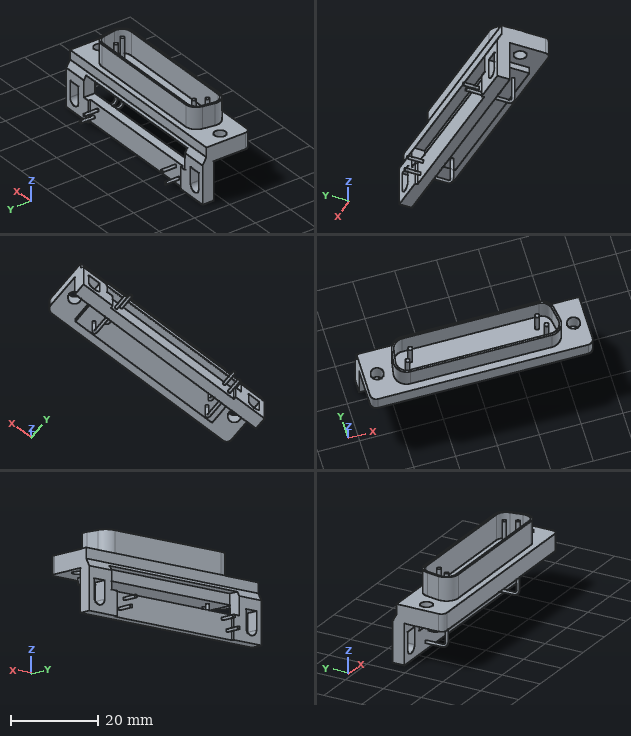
import cadquery as cq
import math

length = 53.2
flange_depth = 12.5
flange_bottom = 10.6
flange_top = 15.05
flange_corner_radius = 1.5

leg_front = 10.4
leg_back = 13.55
slope_top = 12.45
recess_half_width = 18.05
recess_front = 12.95
window_half_width = 19.7
window_bottom = 6.0

mount_x = 23.45
mount_hole_diameter = 3.05
slot_width = 3.2
slot_bottom = 1.85
slot_top = 7.9

shell_center_y = 6.35
shell_depth = 9.2
shell_front_half_width = 20.55
shell_side_angle = 10.0
shell_corner_radius = 3.05
shell_wall = 0.5
shell_top = 21.0
shell_floor = 14.6

block_half_width = 20.05
block_front = 2.4
block_bottom = 9.0

contacts = [(15.15, 7.7, 4.65), (16.6, 4.9, 2.1)]
contact_diameter = 1.0
contact_top = 20.6
tail_diameter = 0.75
tail_end = 16.8
bend_radius = 1.1


def box(half_width, y_min, y_max, z_min, z_max):
    """Box centred on X = 0 between the given Y and Z limits."""
    return cq.Workplane("XY").box(
        2 * half_width, y_max - y_min, z_max - z_min, centered=(True, False, False)
    ).translate((0, y_min, z_min))


def make_bracket():
    """Flange and leg as one angle profile, with rounded front corners."""
    profile = [
        (0, flange_bottom),
        (leg_front, flange_bottom),
        (leg_front, 0),
        (leg_back, 0),
        (leg_back, flange_bottom),
        (flange_depth, slope_top),
        (flange_depth, flange_top),
        (0, flange_top),
    ]
    bracket = cq.Workplane("YZ").polyline(profile).close().extrude(length / 2, both=True)
    return bracket.edges("|Z and <Y").fillet(flange_corner_radius)


def cut_leg_openings(bracket):
    """Cut the shallow back recess and the wide window through the leg."""
    slope_fraction = (leg_back - recess_front) / (leg_back - flange_depth)
    window_top = flange_bottom + slope_fraction * (slope_top - flange_bottom)
    recess = box(recess_half_width, recess_front, leg_back, 0, window_top)
    window = box(window_half_width, leg_front, leg_back, window_bottom, window_top)
    return bracket.cut(recess).cut(window)


def cut_mounting(bracket):
    """Cut a round flange hole and a round-bottomed leg slot at each end."""
    slot_radius = slot_width / 2
    slot_center_z = slot_bottom + slot_radius
    for x in (-mount_x, mount_x):
        hole = (
            cq.Workplane("XY")
            .center(x, shell_center_y)
            .circle(mount_hole_diameter / 2)
            .extrude(flange_top)
        )
        slot = (
            cq.Workplane("XZ")
            .moveTo(x - slot_radius, slot_top)
            .lineTo(x - slot_radius, slot_center_z)
            .threePointArc((x, slot_bottom), (x + slot_radius, slot_center_z))
            .lineTo(x + slot_radius, slot_top)
            .close()
            .extrude(-leg_back)
        )
        bracket = bracket.cut(hole).cut(slot)
    return bracket


def d_prism(inset, z_min, z_max):
    """Rounded D-shaped prism, inset evenly from the outside of the shell."""
    angle = math.radians(shell_side_angle)
    y_front = shell_center_y - shell_depth / 2
    y_back = shell_center_y + shell_depth / 2

    def side_x(y):
        return shell_front_half_width - (y - y_front) * math.tan(angle) - inset / math.cos(angle)

    y_near = y_front + inset
    y_far = y_back - inset
    corners = [
        (-side_x(y_near), y_near),
        (side_x(y_near), y_near),
        (side_x(y_far), y_far),
        (-side_x(y_far), y_far),
    ]
    prism = cq.Workplane("XY").workplane(offset=z_min).polyline(corners).close().extrude(z_max - z_min)
    return prism.edges("|Z").fillet(shell_corner_radius - inset)


def make_contact(x, y, tail_z):
    """Straight pin inside the shell with a thinner tail bent towards the back."""
    pin = (
        cq.Workplane("XY", origin=(x, y, block_bottom))
        .circle(contact_diameter / 2)
        .extrude(contact_top - block_bottom)
    )
    bend_offset = bend_radius * (1 - math.sqrt(0.5))
    path = (
        cq.Workplane("YZ", origin=(x, 0, 0))
        .moveTo(y, block_bottom)
        .lineTo(y, tail_z + bend_radius)
        .threePointArc((y + bend_offset, tail_z + bend_offset), (y + bend_radius, tail_z))
        .lineTo(tail_end, tail_z)
    )
    tail = cq.Workplane("XY", origin=(x, y, block_bottom)).circle(tail_diameter / 2).sweep(path)
    return pin.union(tail)


body = cut_mounting(cut_leg_openings(make_bracket()))
body = body.union(box(block_half_width, block_front, leg_front, block_bottom, flange_bottom))
body = body.union(d_prism(0, flange_top, shell_top))
body = body.cut(d_prism(shell_wall, shell_floor, shell_top))
for side in (-1, 1):
    for distance, upright_y, tail_height in contacts:
        body = body.union(make_contact(side * distance, upright_y, tail_height))

result = body